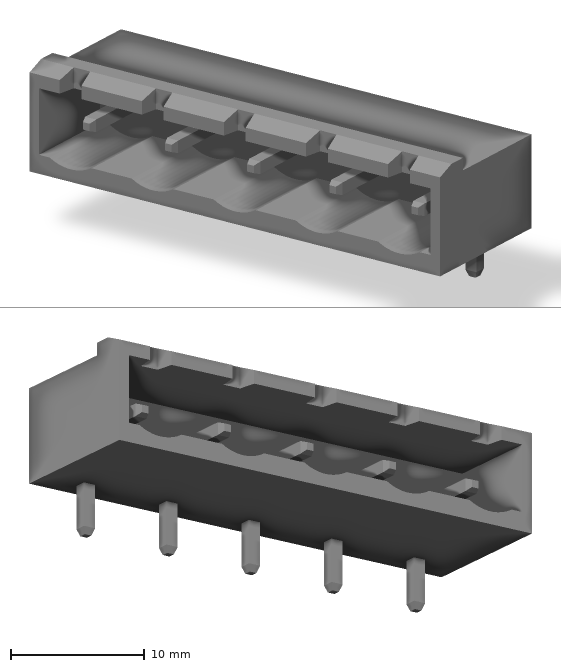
import cadquery as cq


pin_count = 5
pitch = 7.5
pin_positions = [(i - (pin_count - 1) / 2) * pitch for i in range(pin_count)]

housing_length = pin_count * pitch
housing_depth = 12.0
housing_height = 7.58

ridge_top = 8.6
ridge_depth = 3.0
lead_in_depth = 1.5
lead_in_drop = 0.6

side_wall = 0.85
floor_height = 1.55
cavity_top = 6.9
cavity_depth = 8.0

trough_width = 3.82
trough_sag = 0.52

notch_front_width = 2.0
notch_back_width = 1.5

overall_height = 12.6
pin_size = 1.0
pin_tip_size = 0.6
pin_tip_length = 0.55
pin_axis_height = 3.8
pin_front_gap = 2.05
leg_from_back = 2.05
leg_length = overall_height - ridge_top


def make_housing():
    """Solid side profile swept along the whole row."""
    return (
        cq.Workplane("YZ")
        .moveTo(0, 0)
        .lineTo(housing_depth, 0)
        .lineTo(housing_depth, housing_height)
        .lineTo(ridge_depth, housing_height)
        .lineTo(ridge_depth, ridge_top)
        .lineTo(lead_in_depth, ridge_top)
        .lineTo(0, ridge_top - lead_in_drop)
        .close()
        .extrude(housing_length / 2, both=True)
    )


def make_cavity():
    """Front opening whose floor dips into a trough below each pin."""
    half_length = housing_length / 2 - side_wall
    outline = (
        cq.Workplane("XZ")
        .moveTo(-half_length, cavity_top)
        .lineTo(-half_length, floor_height)
    )
    for x in pin_positions:
        outline = outline.lineTo(x - trough_width / 2, floor_height).threePointArc(
            (x, floor_height - trough_sag), (x + trough_width / 2, floor_height)
        )
    return (
        outline.lineTo(half_length, floor_height)
        .lineTo(half_length, cavity_top)
        .close()
        .extrude(-cavity_depth)
    )


def make_notch(x):
    """Notch from the cavity up through the ridge, wider at the front."""
    return (
        cq.Workplane("XY", origin=(x, 0, floor_height))
        .moveTo(-notch_front_width / 2, 0)
        .lineTo(notch_front_width / 2, 0)
        .lineTo(notch_back_width / 2, lead_in_depth)
        .lineTo(-notch_back_width / 2, lead_in_depth)
        .close()
        .extrude(ridge_top - floor_height)
    )


def make_square_bar(start, direction, length):
    """Square bar from start along direction, its far end tapering to the pin tip."""
    plane = cq.Plane(origin=start, xDir=(1, 0, 0), normal=direction)
    shank_length = length - pin_tip_length
    shank = cq.Workplane(plane).rect(pin_size, pin_size).extrude(shank_length)
    tip = (
        cq.Workplane(plane)
        .workplane(offset=shank_length)
        .rect(pin_size, pin_size)
        .workplane(offset=pin_tip_length)
        .rect(pin_tip_size, pin_tip_size)
        .loft(ruled=True)
    )
    return shank.union(tip)


def make_pin(x):
    """Right-angle pin: contact facing the front, leg pointing down."""
    bend = (x, housing_depth - leg_from_back, pin_axis_height)
    contact = make_square_bar(bend, (0, -1, 0), bend[1] - pin_front_gap)
    leg = make_square_bar(bend, (0, 0, -1), pin_axis_height + leg_length)
    return contact.union(leg)


result = make_housing().cut(make_cavity())
for x in pin_positions:
    result = result.cut(make_notch(x)).union(make_pin(x))